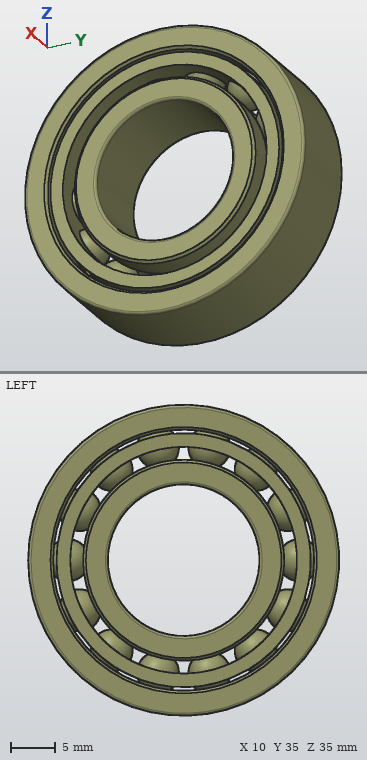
import cadquery as cq

OUTER_DIAMETER = 35.0
BORE_DIAMETER = 17.0
WIDTH = 10.0
EDGE_FILLET = 0.3

BALL_COUNT = 14
BALL_RADIUS = 2.38
PITCH_RADIUS = 13.0

SHOULDER_OFFSET = 1.68
INNER_SHOULDER_RADIUS = PITCH_RADIUS - SHOULDER_OFFSET
OUTER_SHOULDER_RADIUS = PITCH_RADIUS + SHOULDER_OFFSET
SHOULDER_CHAMFER = 0.3

CAGE_INNER_RADIUS = 12.75
CAGE_OUTER_RADIUS = 14.28
CAGE_RECESS = 0.2
CAGE_WIDTH = WIDTH - 2 * CAGE_RECESS

SMALLEST_CIRCLES = cq.selectors.RadiusNthSelector(0)
LARGEST_CIRCLES = cq.selectors.RadiusNthSelector(-1)


def make_tube(inner_radius, outer_radius, width):
    """Plain tube about the X axis, centred on X = 0."""
    return (
        cq.Workplane("YZ", origin=(-width / 2, 0, 0))
        .circle(outer_radius)
        .circle(inner_radius)
        .extrude(width)
    )


def make_raceway():
    """Torus that the balls sweep along the pitch circle."""
    return cq.Workplane(cq.Solid.makeTorus(PITCH_RADIUS, BALL_RADIUS, dir=cq.Vector(1, 0, 0)))


def make_outer_ring():
    """Outer ring: rounded outside, chamfered shoulders, ball groove in its inner wall."""
    ring = make_tube(OUTER_SHOULDER_RADIUS, OUTER_DIAMETER / 2, WIDTH)
    ring = ring.edges(SMALLEST_CIRCLES).chamfer(SHOULDER_CHAMFER)
    ring = ring.edges(LARGEST_CIRCLES).fillet(EDGE_FILLET)
    return ring.cut(make_raceway()).solids()


def make_inner_ring():
    """Inner ring: rounded bore, chamfered shoulders, ball groove in its outer wall."""
    ring = make_tube(BORE_DIAMETER / 2, INNER_SHOULDER_RADIUS, WIDTH)
    ring = ring.edges(LARGEST_CIRCLES).chamfer(SHOULDER_CHAMFER)
    ring = ring.edges(SMALLEST_CIRCLES).fillet(EDGE_FILLET)
    return ring.cut(make_raceway()).solids()


def make_ball(angle):
    """Ball on the pitch circle, turned about the X axis by an angle from -Y."""
    ball = cq.Workplane("XZ", origin=(0, -PITCH_RADIUS, 0)).sphere(BALL_RADIUS)
    return ball.rotate((0, 0, 0), (1, 0, 0), angle)


def make_ball_cage():
    """Cage ring and its evenly spaced balls, joined as one solid."""
    cage = make_tube(CAGE_INNER_RADIUS, CAGE_OUTER_RADIUS, CAGE_WIDTH)
    for index in range(BALL_COUNT):
        cage = cage.union(make_ball(index * 360 / BALL_COUNT))
    return cage.solids()


outer_ring = make_outer_ring()
inner_ring = make_inner_ring()
ball_cage = make_ball_cage()

result = cq.Compound.makeCompound([outer_ring.val(), inner_ring.val(), ball_cage.val()])